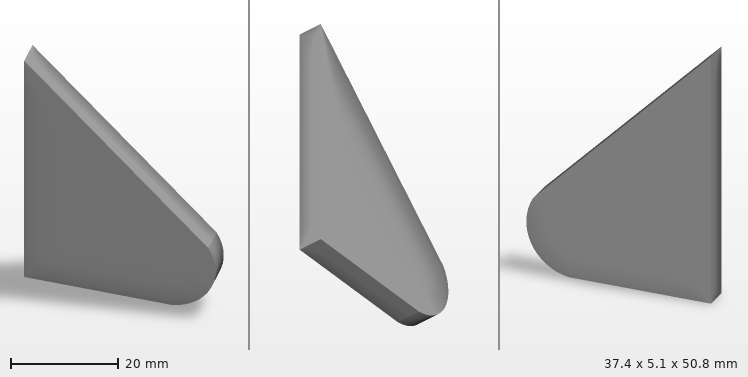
import cadquery as cq
import math

width = 37.4
thickness = 5.1
height = 50.8

nose_radius = 10.0
nose_center_x = width - nose_radius
nose_center_z = 10.05

upper_edge_end_z = 15.15
lower_edge_end_z = 0.15


def nose_point(z):
    """Point on the right half of the nose circle at height z."""
    x = nose_center_x + math.sqrt(nose_radius**2 - (z - nose_center_z) ** 2)
    return (x, z)


result = (
    cq.Workplane("XZ")
    .moveTo(0, 0)
    .lineTo(*nose_point(lower_edge_end_z))
    .threePointArc((width, nose_center_z), nose_point(upper_edge_end_z))
    .lineTo(0, height)
    .close()
    .extrude(thickness / 2, both=True)
)